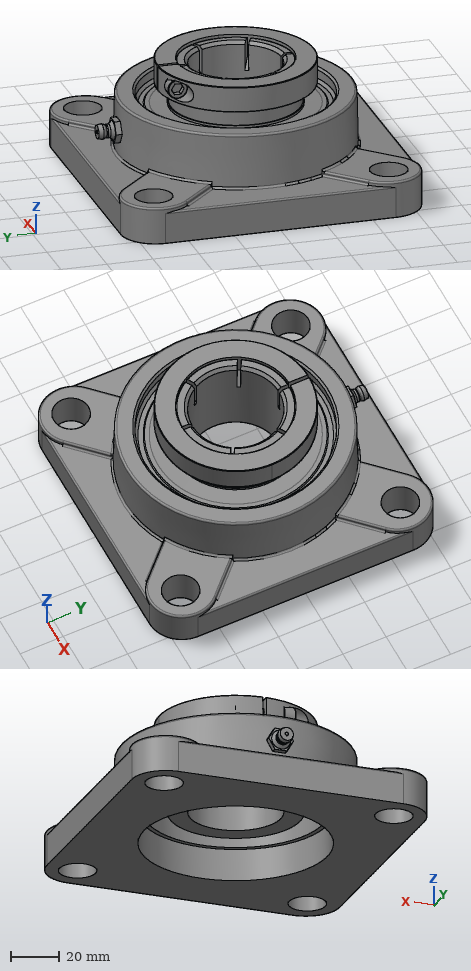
import cadquery as cq
import math

FLANGE_SIDE = 130.0
CORNER_RADIUS = 15.0
PLATE_HEIGHT = 14.0
PLATE_EDGE_ROUND = 0.7
CORNER_OFFSET = FLANGE_SIDE / 2 - CORNER_RADIUS
CORNER_ANGLES = (45, 135, 225, 315)

BOLT_OFFSET = 51.0
BOLT_HOLE_DIAMETER = 16.0

PAD_HEIGHT = 16.0
PAD_ROUND = 0.8

TOWER_TOP = 38.0
TOWER_BASE_RADIUS = 51.0
TOWER_TOP_RADIUS = 50.4
TOWER_EDGE_ROUND = 0.9
FOOT_FILLET = 0.9
FILLET_ROOT = 1.0
BORE_DIAMETER = 83.82
BORE_MOUTH_DIAMETER = 85.72
BORE_MOUTH_CHAMFER = (BORE_MOUTH_DIAMETER - BORE_DIAMETER) / 2

OUTER_RING_DIAMETER = 81.3
OUTER_RING_TOP = 32.0
OUTER_RING_BOTTOM = 14.0
SEAT_CHAMFER = (BORE_DIAMETER - OUTER_RING_DIAMETER) / 2

SEAL_DIAMETER = 77.0
SEAL_TOP = 32.5
SEAL_THICKNESS = 2.0
SEAL_EDGE_CHAMFER = SEAL_TOP - OUTER_RING_TOP
SEAL_RIM_DIAMETER = 72.0
SEAL_FACE_DROP = 0.2

SHAFT_DIAMETER = 40.0
RACE_DIAMETER = 57.02
RACE_TOP = 33.3
INNER_RING_DIAMETER = 56.0
INNER_RING_TOP = 51.6
RING_NECK_DIAMETER = 50.0
RING_NECK_CHAMFER = 0.5
SHAFT_CHAMFER = 1.4
SLOT_WIDTH = 1.6
SLOT_BOTTOM = 38.7
RING_SLOTS = 6

COLLAR_TOP = 52.7
COLLAR_BOTTOM = 41.5
COLLAR_DIAMETER = 68.0
COLLAR_CHAMFER = 0.3

SCREW_Y = 29.4
SCREW_Z = (COLLAR_TOP + COLLAR_BOTTOM) / 2
SCREW_HEAD_DIAMETER = 8.5
SCREW_HEAD_LENGTH = 5.0
SCREW_HEAD_CHAMFER = 0.3
SCREW_SEAT_X = -9.2
SCREW_SHANK_DIAMETER = 4.13
SCREW_END_X = 12.0
SOCKET_ACROSS_FLATS = 4.7
SOCKET_DEPTH = 2.5

HEX_TURN = 30

FITTING_Z = 26.0
STUD_DIAMETER = 6.0
HEX_ACROSS_FLATS = 9.5
HEX_BASE_Y = 50.9
HEX_TOP_Y = 53.5
CONE_BASE_DIAMETER = 8.4
CONE_TOP_Y = 55.0
NIPPLE_DIAMETER = 5.8
GROOVE_DIAMETER = 5.2
GROOVE_Y = 56.5
GROOVE_HALF_WIDTH = 0.5
NIPPLE_RIDGE_DIAMETER = 6.6
NIPPLE_RIDGE_Y = 58.1
NIPPLE_TIP_Y = 60.2
BALL_DIAMETER = 1.48
BALL_PROTRUSION = 0.5


def cylinder_z(diameter, bottom, top):
    return cq.Workplane("XY").workplane(offset=bottom).circle(diameter / 2).extrude(top - bottom)


def cylinder_x(diameter, start_x, end_x):
    """Cylinder along X on the screw axis."""
    plane = cq.Workplane("YZ", origin=(start_x, SCREW_Y, SCREW_Z))
    return plane.circle(diameter / 2).extrude(end_x - start_x)


def revolve_z(outline):
    """Solid of revolution about Z from a closed (radius, height) outline."""
    return cq.Workplane("XZ").polyline(outline).close().revolve(360, (0, 0, 0), (0, 1, 0))


def concave_corner(plane, corner, radius, top_u=None):
    """Closed outline of a concave fillet in an inner corner, rooted in both walls."""
    u, v = corner
    top_u = u if top_u is None else top_u
    sag = radius * (1 - math.sqrt(0.5))
    return (
        plane.moveTo(u - FILLET_ROOT, v - FILLET_ROOT)
        .lineTo(u + radius, v - FILLET_ROOT)
        .lineTo(u + radius, v)
        .threePointArc((u + sag, v + sag), (top_u, v + radius))
        .lineTo(u - FILLET_ROOT, v + radius)
        .close()
    )


def make_pad_blank():
    """Straight pad with a round end, running along +X out to a flange corner."""
    reach = CORNER_OFFSET * math.sqrt(2)
    straight = cq.Workplane("XY").box(reach, 2 * CORNER_RADIUS, PAD_HEIGHT, centered=(False, True, False))
    return straight.union(cylinder_z(2 * CORNER_RADIUS, 0, PAD_HEIGHT).translate((reach, 0, 0)))


def make_pad():
    """Corner pad with a rounded top edge and a concave fillet along each straight side."""
    reach = CORNER_OFFSET * math.sqrt(2)
    pad = make_pad_blank().faces(">Z").edges("not <X").fillet(PAD_ROUND)
    strip = concave_corner(cq.Workplane("YZ"), (CORNER_RADIUS, PLATE_HEIGHT), PAD_ROUND).extrude(reach)
    return pad.union(strip).union(strip.mirror("XZ"))


def make_foot_fillet(height):
    """Concave fillet ring between the tower and a flat at the given height."""
    corner = (tower_radius(height), height)
    section = concave_corner(cq.Workplane("XZ"), corner, FOOT_FILLET, tower_radius(height + FOOT_FILLET))
    return section.revolve(360, (0, 0, 0), (0, 1, 0))


def tower_radius(height):
    """Radius of the slightly tapered tower at a given height."""
    share = (height - PLATE_HEIGHT) / (TOWER_TOP - PLATE_HEIGHT)
    return TOWER_BASE_RADIUS + share * (TOWER_TOP_RADIUS - TOWER_BASE_RADIUS)


def make_housing():
    plate = cq.Workplane("XY").rect(FLANGE_SIDE, FLANGE_SIDE).extrude(PLATE_HEIGHT)
    plate = plate.edges("|Z").chamfer(CORNER_RADIUS).faces(">Z").edges("|X or |Y").fillet(PLATE_EDGE_ROUND)
    tower = revolve_z([
        (0, 0),
        (TOWER_BASE_RADIUS, 0),
        (TOWER_BASE_RADIUS, PLATE_HEIGHT),
        (TOWER_TOP_RADIUS, TOWER_TOP),
        (0, TOWER_TOP),
    ])
    tower = tower.faces(">Z").edges().fillet(TOWER_EDGE_ROUND)
    body = plate.union(tower).union(make_foot_fillet(PLATE_HEIGHT))

    pad_area = make_pad_blank().translate((0, 0, FOOT_FILLET))
    pad = make_pad().union(make_foot_fillet(PAD_HEIGHT).intersect(pad_area))
    for angle in CORNER_ANGLES:
        body = body.union(pad.rotate((0, 0, 0), (0, 0, 1), angle))

    bore = revolve_z([
        (0, 0),
        (OUTER_RING_DIAMETER / 2, 0),
        (OUTER_RING_DIAMETER / 2, OUTER_RING_TOP),
        (BORE_DIAMETER / 2, OUTER_RING_TOP + SEAT_CHAMFER),
        (BORE_DIAMETER / 2, TOWER_TOP - BORE_MOUTH_CHAMFER),
        (BORE_MOUTH_DIAMETER / 2, TOWER_TOP),
        (0, TOWER_TOP),
    ])
    bolt_holes = (
        cq.Workplane("XY")
        .rect(2 * BOLT_OFFSET, 2 * BOLT_OFFSET, forConstruction=True)
        .vertices()
        .circle(BOLT_HOLE_DIAMETER / 2)
        .extrude(PAD_HEIGHT)
    )
    stud_hole = (
        cq.Workplane("XZ", origin=(0, 0, FITTING_Z))
        .circle(STUD_DIAMETER / 2)
        .extrude(-HEX_BASE_Y)
    )
    return body.cut(bore).cut(bolt_holes).cut(stud_hole, clean=False)


def make_outer_ring():
    ring = cylinder_z(OUTER_RING_DIAMETER, OUTER_RING_BOTTOM, OUTER_RING_TOP)
    return ring.cut(cylinder_z(SEAL_DIAMETER, OUTER_RING_BOTTOM, OUTER_RING_TOP))


def make_seal():
    """Annular seal with a chamfered flat rim that stands proud and a slightly conical face."""
    bottom = SEAL_TOP - SEAL_THICKNESS
    return revolve_z([
        (RACE_DIAMETER / 2, bottom),
        (SEAL_DIAMETER / 2, bottom),
        (SEAL_DIAMETER / 2, OUTER_RING_TOP),
        (SEAL_DIAMETER / 2 - SEAL_EDGE_CHAMFER, SEAL_TOP),
        (SEAL_RIM_DIAMETER / 2, SEAL_TOP),
        (RACE_DIAMETER / 2, SEAL_TOP - SEAL_FACE_DROP),
    ])


def make_inner_ring():
    """Inner ring with a slotted neck that the collar clamps; each slot floor slopes at 45 degrees."""
    ring = revolve_z([
        (SHAFT_DIAMETER / 2, OUTER_RING_BOTTOM),
        (RACE_DIAMETER / 2, OUTER_RING_BOTTOM),
        (RACE_DIAMETER / 2, RACE_TOP),
        (INNER_RING_DIAMETER / 2, RACE_TOP),
        (INNER_RING_DIAMETER / 2, COLLAR_BOTTOM),
        (RING_NECK_DIAMETER / 2, COLLAR_BOTTOM),
        (RING_NECK_DIAMETER / 2, INNER_RING_TOP - RING_NECK_CHAMFER),
        (RING_NECK_DIAMETER / 2 - RING_NECK_CHAMFER, INNER_RING_TOP),
        (SHAFT_DIAMETER / 2 + SHAFT_CHAMFER, INNER_RING_TOP),
        (SHAFT_DIAMETER / 2, INNER_RING_TOP - SHAFT_CHAMFER),
    ])
    wall = (RING_NECK_DIAMETER - SHAFT_DIAMETER) / 2
    slot = (
        cq.Workplane("YZ", origin=(-SLOT_WIDTH / 2, SHAFT_DIAMETER / 2, SLOT_BOTTOM))
        .moveTo(-wall, -wall)
        .lineTo(wall, wall)
        .lineTo(wall, INNER_RING_TOP - SLOT_BOTTOM)
        .lineTo(-wall, INNER_RING_TOP - SLOT_BOTTOM)
        .close()
        .extrude(SLOT_WIDTH)
    )
    for index in range(RING_SLOTS):
        ring = ring.cut(slot.rotate((0, 0, 0), (0, 0, 1), index * 360 / RING_SLOTS))
    return ring


def make_collar():
    collar = cylinder_z(COLLAR_DIAMETER, COLLAR_BOTTOM, COLLAR_TOP).edges().chamfer(COLLAR_CHAMFER)
    collar = collar.cut(cylinder_z(RING_NECK_DIAMETER, COLLAR_BOTTOM, COLLAR_TOP))
    split = cq.Workplane("XY", origin=(0, 0, COLLAR_BOTTOM)).box(
        SLOT_WIDTH, COLLAR_DIAMETER / 2, COLLAR_TOP - COLLAR_BOTTOM, centered=(True, False, False)
    )
    counterbore = cylinder_x(SCREW_HEAD_DIAMETER, -COLLAR_DIAMETER / 2, SCREW_SEAT_X)
    shank_hole = cylinder_x(SCREW_SHANK_DIAMETER, SCREW_SEAT_X, SCREW_END_X)
    return collar.cut(split).cut(counterbore).cut(shank_hole)


def make_screw():
    """Socket head cap screw along X."""
    head_end = SCREW_SEAT_X - SCREW_HEAD_LENGTH
    head = cylinder_x(SCREW_HEAD_DIAMETER, head_end, SCREW_SEAT_X)
    head = head.faces("<X").edges().chamfer(SCREW_HEAD_CHAMFER)
    socket = (
        cq.Workplane("YZ", origin=(head_end, SCREW_Y, SCREW_Z))
        .transformed(rotate=(0, 0, HEX_TURN))
        .polygon(6, SOCKET_ACROSS_FLATS, circumscribed=True)
        .extrude(SOCKET_DEPTH)
    )
    shank = cylinder_x(SCREW_SHANK_DIAMETER, SCREW_SEAT_X, SCREW_END_X)
    return head.cut(socket).union(shank)


def make_ball():
    centre_y = NIPPLE_TIP_Y + BALL_PROTRUSION - BALL_DIAMETER / 2
    return cq.Workplane("XY").sphere(BALL_DIAMETER / 2).translate((0, centre_y, FITTING_Z))


def make_fitting(ball):
    """Grease nipple along +Y, with a seat for its closing ball."""
    stud_start = OUTER_RING_DIAMETER / 2
    nipple = (
        cq.Workplane("XY")
        .polyline([
            (0, stud_start),
            (STUD_DIAMETER / 2, stud_start),
            (STUD_DIAMETER / 2, HEX_TOP_Y),
            (CONE_BASE_DIAMETER / 2, HEX_TOP_Y),
            (NIPPLE_DIAMETER / 2, CONE_TOP_Y),
            (NIPPLE_DIAMETER / 2, GROOVE_Y - GROOVE_HALF_WIDTH),
            (GROOVE_DIAMETER / 2, GROOVE_Y),
            (NIPPLE_DIAMETER / 2, GROOVE_Y + GROOVE_HALF_WIDTH),
            (NIPPLE_RIDGE_DIAMETER / 2, NIPPLE_RIDGE_Y),
            (NIPPLE_DIAMETER / 2, NIPPLE_TIP_Y),
            (0, NIPPLE_TIP_Y),
        ])
        .close()
        .revolve(360, (0, 0, 0), (0, 1, 0))
        .translate((0, 0, FITTING_Z))
    )
    hexagon = (
        cq.Workplane("XZ", origin=(0, HEX_BASE_Y, FITTING_Z))
        .transformed(rotate=(0, 0, HEX_TURN))
        .polygon(6, HEX_ACROSS_FLATS, circumscribed=True)
        .extrude(HEX_BASE_Y - HEX_TOP_Y)
    )
    return nipple.union(hexagon).cut(ball)


housing = make_housing()
outer_ring = make_outer_ring()
seal = make_seal()
inner_ring = make_inner_ring()
collar = make_collar()
screw = make_screw()
ball = make_ball()
fitting = make_fitting(ball)

result = cq.Compound.makeCompound([
    housing.val(),
    outer_ring.val(),
    seal.val(),
    inner_ring.val(),
    collar.val(),
    screw.val(),
    fitting.val(),
    ball.val(),
])